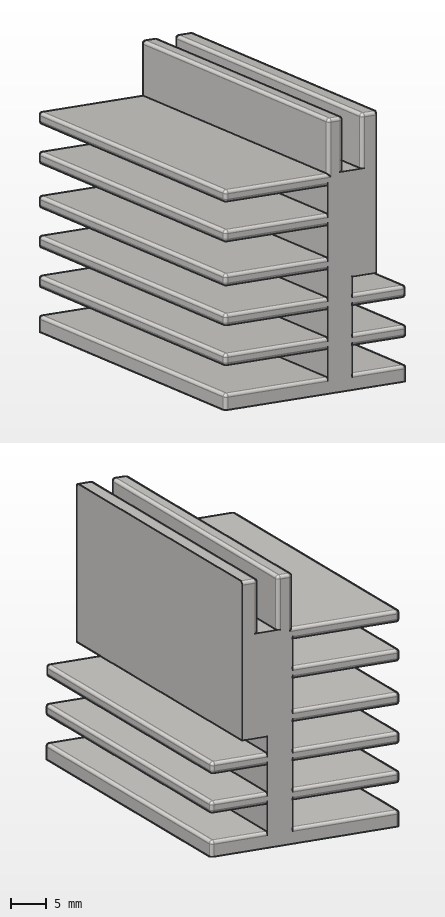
import cadquery as cq

length = 50.0
depth = 30.0
height = 40.0

web_front = 17.0
web_back = 21.0
block_back = 25.0
block_bottom = 16.5

base_thickness = 2.4
fin_thickness = 1.8
fin_gap = 4.0
wide_fin_gap = 4.6
gaps_below_fins = [fin_gap, fin_gap, fin_gap, wide_fin_gap, fin_gap]
front_fin_tops = [
    base_thickness + sum(gaps_below_fins[:count]) + count * fin_thickness
    for count in range(1, len(gaps_below_fins) + 1)
]

upper_back_fin_setback = 0.1
back_fin_ends = [depth, depth - upper_back_fin_setback]

prong_thickness = 2.5
slot_floor = front_fin_tops[-1]
prong_fronts = [web_front, block_back - prong_thickness]

edge_radius = 0.5
tolerance = 0.005


def bar(y_min, y_max, z_min, z_max):
    """Full-length bar with the given Y and Z limits."""
    block = cq.Workplane("XY").box(length, y_max - y_min, z_max - z_min, centered=False)
    return block.translate((0, y_min, z_min))


def sharp_heat_sink():
    """Base, web, block, prongs and fins before any edge is rounded."""
    body = bar(0, depth, 0, base_thickness)
    body = body.union(bar(web_front, web_back, 0, slot_floor))
    body = body.union(bar(web_front, block_back, block_bottom, slot_floor))
    for prong_front in prong_fronts:
        body = body.union(bar(prong_front, prong_front + prong_thickness, block_bottom, height))
    for top in front_fin_tops:
        body = body.union(bar(0, web_back, top - fin_thickness, top))
    for top, end in zip(front_fin_tops, back_fin_ends):
        body = body.union(bar(web_front, end, top - fin_thickness, top))
    return body.clean()


def is_rounded(edge):
    """True for the outer edges of the fins, base and prongs.

    The underside and the flat back of the block keep sharp edges.
    """
    center = edge.Center()
    box = edge.BoundingBox()
    on_underside = box.zmax < tolerance
    on_block_back = abs(center.y - block_back) < tolerance and box.ylen < tolerance
    if on_underside or on_block_back:
        return False
    on_front_fin = center.y < web_front - tolerance
    on_back_fin = center.y > web_back + tolerance and box.zmax < block_bottom - tolerance
    on_prong = center.z > slot_floor + tolerance
    return on_front_fin or on_back_fin or on_prong


body = sharp_heat_sink()
rounded_edges = [edge for edge in body.edges().vals() if is_rounded(edge)]
result = body.newObject(rounded_edges).fillet(edge_radius)